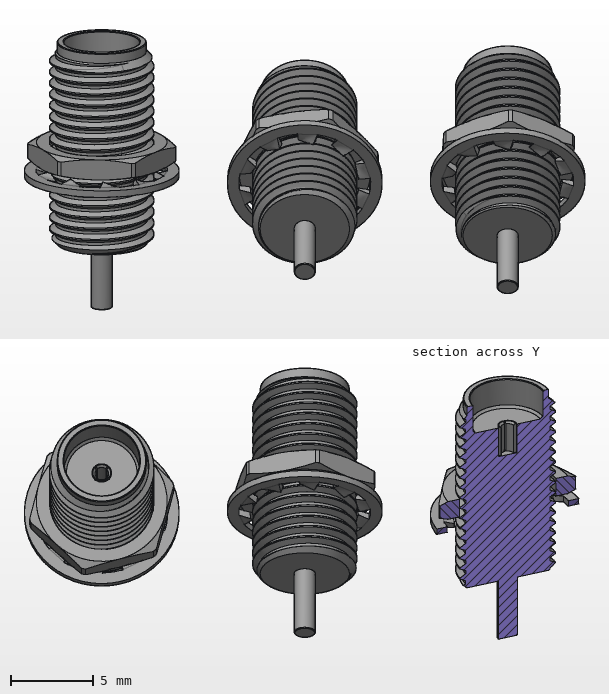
import cadquery as cq
import math


BODY_LENGTH = 12.70
RIM_RADIUS = 2.71
RIM_HEIGHT = 0.62
RIM_CHAMFER = 0.05

THREAD_PITCH = 25.4 / 36
THREAD_MAJOR_RADIUS = 3.175
THREAD_MINOR_RADIUS = 2.80
THREAD_DEPTH = THREAD_MAJOR_RADIUS - THREAD_MINOR_RADIUS
THREAD_CREST_FLAT = THREAD_PITCH / 8
THREAD_FLANK_SLOPE = math.tan(math.radians(30))
THREAD_ROOT_WIDTH = THREAD_CREST_FLAT + 2 * THREAD_DEPTH * THREAD_FLANK_SLOPE
THREAD_ROOT_OVERLAP = 0.05
CORE_OVERRUN = 3.0
THREAD_SPARE_TURNS = 3
CREST_DEPTH_AT_X = 1.694

SOCKET_RADIUS = 2.30
SOCKET_FLOOR_RADIUS = 2.145
SOCKET_DEPTH = 1.96
SOCKET_CONE_HEIGHT = SOCKET_RADIUS - SOCKET_FLOOR_RADIUS

CONTACT_RADIUS = 0.594
CONTACT_MOUTH_RADIUS = 0.54
CONTACT_HOLE_RADIUS = 0.41
CONTACT_CHAMFER = CONTACT_MOUTH_RADIUS - CONTACT_HOLE_RADIUS
CONTACT_HEIGHT = 0.05
CONTACT_HOLE_DEPTH = 2.0
CONTACT_SLOT_WIDTH = 0.10

TAIL_PIN_RADIUS = 0.645
TAIL_PIN_LENGTH = 4.064
TAIL_PIN_CHAMFER = 0.05

NUT_ACROSS_FLATS = 7.94
NUT_CORNER_RADIUS = 4.51
NUT_THICKNESS = 1.27
NUT_TOP_Z = BODY_LENGTH - 6.35
NUT_CHAMFER_ANGLE = 20

WASHER_RADIUS = 4.70
WASHER_INNER_RADIUS = 4.00
WASHER_THICKNESS = 0.41
WASHER_TOP_Z = BODY_LENGTH - 8.10
WASHER_MID_Z = WASHER_TOP_Z - WASHER_THICKNESS / 2
TOOTH_COUNT = 10
TOOTH_PITCH_ANGLE = 360 / TOOTH_COUNT
TOOTH_ROOT_HALF_ANGLE = 9
TOOTH_TIP_WIDTH = 0.98
TOOTH_TIP_RADIUS = 3.30
TOOTH_TWIST = 25
TOOTH_ROOT_X = WASHER_INNER_RADIUS * math.cos(math.radians(TOOTH_ROOT_HALF_ANGLE))
TOOTH_ROOT_WIDTH = 2 * WASHER_INNER_RADIUS * math.sin(math.radians(TOOTH_ROOT_HALF_ANGLE))
TOOTH_ROOT_OVERLAP = 0.30


def revolve_profile(points):
    """Solid of revolution about Z from (radius, z) points."""
    return cq.Workplane("XZ").polyline(points).close().revolve(360, (0, 0, 0), (0, 1, 0))


def thread_ridge():
    """Helical ridge, running past both ends of the barrel."""
    crests_above = math.ceil(BODY_LENGTH / THREAD_PITCH)
    start_z = BODY_LENGTH - CREST_DEPTH_AT_X - crests_above * THREAD_PITCH
    height = (crests_above + THREAD_SPARE_TURNS) * THREAD_PITCH
    path = cq.Wire.makeHelix(THREAD_PITCH, height, THREAD_MINOR_RADIUS)
    root_radius = THREAD_MINOR_RADIUS - THREAD_ROOT_OVERLAP
    root_half = THREAD_ROOT_WIDTH / 2 + THREAD_ROOT_OVERLAP * THREAD_FLANK_SLOPE
    crest_half = THREAD_CREST_FLAT / 2
    ridge = (
        cq.Workplane("XZ")
        .polyline([
            (root_radius, -root_half),
            (THREAD_MAJOR_RADIUS, -crest_half),
            (THREAD_MAJOR_RADIUS, crest_half),
            (root_radius, root_half),
        ])
        .close()
        .sweep(cq.Workplane(obj=path), isFrenet=True)
    )
    return ridge.translate((0, 0, start_z))


def barrel_envelope():
    """Outer limit of the barrel: end cones that trim the thread, and the rim."""
    rim_z = BODY_LENGTH - RIM_HEIGHT
    outer_radius = THREAD_MAJOR_RADIUS + THREAD_ROOT_OVERLAP
    cone_height = outer_radius - RIM_RADIUS
    return revolve_profile([
        (0, 0),
        (RIM_RADIUS, 0),
        (outer_radius, cone_height),
        (outer_radius, rim_z - cone_height),
        (RIM_RADIUS, rim_z),
        (RIM_RADIUS, BODY_LENGTH - RIM_CHAMFER),
        (RIM_RADIUS - RIM_CHAMFER, BODY_LENGTH),
        (0, BODY_LENGTH),
    ])


def socket_cavity():
    """Socket with its rim chamfer, the sleeve left standing on its floor, and the sleeve hole."""
    floor_z = BODY_LENGTH - SOCKET_DEPTH
    sleeve_top_z = floor_z + CONTACT_HEIGHT
    hole_bottom_z = floor_z - CONTACT_HOLE_DEPTH
    return revolve_profile([
        (0, hole_bottom_z),
        (CONTACT_HOLE_RADIUS, hole_bottom_z),
        (CONTACT_HOLE_RADIUS, sleeve_top_z - CONTACT_CHAMFER),
        (CONTACT_MOUTH_RADIUS, sleeve_top_z),
        (CONTACT_RADIUS, sleeve_top_z),
        (CONTACT_RADIUS, floor_z),
        (SOCKET_FLOOR_RADIUS, floor_z),
        (SOCKET_RADIUS, floor_z + SOCKET_CONE_HEIGHT),
        (SOCKET_RADIUS, BODY_LENGTH - RIM_CHAMFER),
        (SOCKET_RADIUS + RIM_CHAMFER, BODY_LENGTH),
        (0, BODY_LENGTH),
    ])


def contact_slots():
    """Two crossing slots that split the contact sleeve into four fingers."""
    bottom_z = BODY_LENGTH - SOCKET_DEPTH - CONTACT_HOLE_DEPTH
    height = CONTACT_HOLE_DEPTH + CONTACT_HEIGHT
    plane = cq.Workplane("XY", origin=(0, 0, bottom_z))
    sleeve = plane.circle(CONTACT_RADIUS).extrude(height)
    along_x = plane.rect(2 * CONTACT_RADIUS, CONTACT_SLOT_WIDTH).extrude(height)
    along_y = plane.rect(CONTACT_SLOT_WIDTH, 2 * CONTACT_RADIUS).extrude(height)
    return along_x.union(along_y).intersect(sleeve)


def make_connector():
    core_length = BODY_LENGTH + 2 * CORE_OVERRUN
    core = (
        cq.Workplane("XY", origin=(0, 0, -CORE_OVERRUN))
        .circle(THREAD_MINOR_RADIUS)
        .extrude(core_length)
    )
    barrel = core.union(thread_ridge()).intersect(barrel_envelope())
    tail_pin = (
        cq.Workplane("XY")
        .circle(TAIL_PIN_RADIUS)
        .extrude(-TAIL_PIN_LENGTH)
        .faces("<Z")
        .chamfer(TAIL_PIN_CHAMFER)
    )
    return barrel.union(tail_pin).cut(socket_cavity()).cut(contact_slots())


def make_nut():
    """Hex nut with flats facing Y, and conical chamfers on both faces."""
    flat_radius = NUT_ACROSS_FLATS / 2
    drop = (NUT_CORNER_RADIUS - flat_radius) * math.tan(math.radians(NUT_CHAMFER_ANGLE))
    bottom_z = NUT_TOP_Z - NUT_THICKNESS
    across_corners = NUT_ACROSS_FLATS / math.cos(math.radians(30))
    hexagon = (
        cq.Workplane("XY", origin=(0, 0, bottom_z))
        .polygon(6, across_corners)
        .circle(THREAD_MAJOR_RADIUS)
        .extrude(NUT_THICKNESS)
    )
    turned_blank = revolve_profile([
        (0, bottom_z),
        (flat_radius, bottom_z),
        (NUT_CORNER_RADIUS, bottom_z + drop),
        (NUT_CORNER_RADIUS, NUT_TOP_Z - drop),
        (flat_radius, NUT_TOP_Z),
        (0, NUT_TOP_Z),
    ])
    return hexagon.intersect(turned_blank)


def make_tooth():
    """One washer tooth on the +X side, twisted about its radial line from root to tip."""
    root_plane = cq.Plane(origin=(TOOTH_ROOT_X, 0, WASHER_MID_Z), xDir=(0, 1, 0), normal=(-1, 0, 0))
    reach = TOOTH_ROOT_X - TOOTH_TIP_RADIUS
    blade = (
        cq.Workplane(root_plane)
        .rect(TOOTH_ROOT_WIDTH, WASHER_THICKNESS)
        .workplane(offset=reach)
        .transformed(rotate=(0, 0, TOOTH_TWIST))
        .rect(TOOTH_TIP_WIDTH, WASHER_THICKNESS)
        .loft(ruled=True)
    )
    root_block = (
        cq.Workplane(root_plane)
        .rect(TOOTH_ROOT_WIDTH, WASHER_THICKNESS)
        .extrude(-TOOTH_ROOT_OVERLAP)
    )
    return blade.union(root_block)


def make_washer():
    washer = (
        cq.Workplane("XY", origin=(0, 0, WASHER_MID_Z - WASHER_THICKNESS / 2))
        .circle(WASHER_RADIUS)
        .circle(WASHER_INNER_RADIUS)
        .extrude(WASHER_THICKNESS)
    )
    tooth = make_tooth()
    for index in range(TOOTH_COUNT):
        angle = (index + 0.5) * TOOTH_PITCH_ANGLE
        washer = washer.union(tooth.rotate((0, 0, 0), (0, 0, 1), angle))
    return washer


connector = make_connector()
nut = make_nut()
washer = make_washer()

result = cq.Compound.makeCompound([connector.val(), nut.val(), washer.val()])